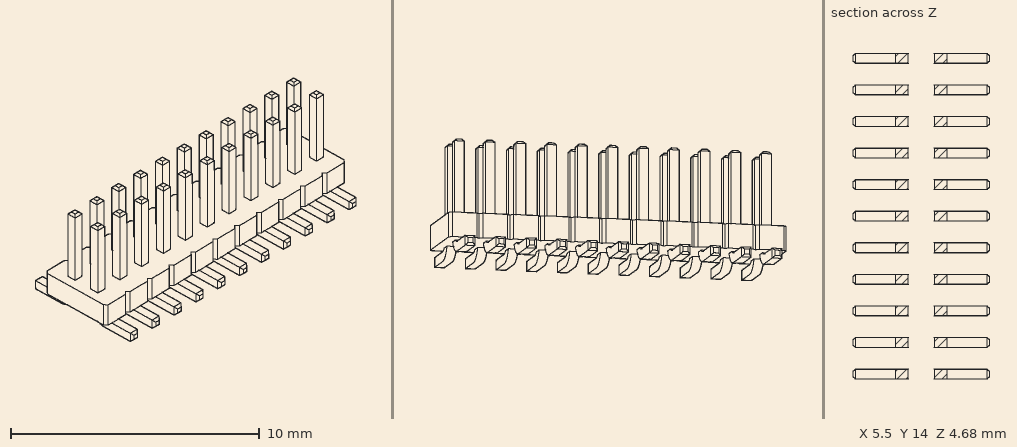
import cadquery as cq

pin_rows = 11
body_length = 13.97
pitch = body_length / pin_rows
overall_width = 5.5
overall_height = 4.68

body_width = 3.41
body_thickness = 1.0
standoff = 0.5
notch_depth = 0.14
notch_half_width = 0.13

pin_size = 0.4
tip_inset = 0.1
post_tip_length = 0.1
foot_tip_length = 0.11
bend_inner_radius = pin_size
bend_outer_radius = bend_inner_radius + pin_size

pin_center_x = pitch / 2
pin_inner_x = pin_center_x - pin_size / 2
pin_outer_x = pin_center_x + pin_size / 2
post_shoulder_z = overall_height - post_tip_length
foot_shoulder_x = overall_width / 2 - foot_tip_length


def row_position(row):
    """Y of a pin row, the rows being centred on the origin."""
    return (row - (pin_rows - 1) / 2) * pitch


def body_segment():
    """One pitch of the body, its cut corners forming V notches with the neighbouring segments."""
    side_x = body_width / 2
    end_x = side_x - notch_depth
    end_y = pitch / 2
    side_y = end_y - notch_half_width
    return (
        cq.Workplane("XY", origin=(0, 0, standoff))
        .polyline([
            (end_x, -end_y), (side_x, -side_y), (side_x, side_y), (end_x, end_y),
            (-end_x, end_y), (-side_x, side_y), (-side_x, -side_y), (-end_x, -end_y),
        ])
        .close()
        .extrude(body_thickness)
    )


def tapered_tip(plane, length):
    """Pyramid frustum closing a pin end, grown along the normal of the plane."""
    end_size = pin_size - 2 * tip_inset
    return (
        cq.Workplane(plane)
        .rect(pin_size, pin_size)
        .workplane(offset=length)
        .rect(end_size, end_size)
        .loft(ruled=True)
    )


def pin():
    """Pin on the +X side: upright post, bend at the underside of the body and outward foot."""
    shank = (
        cq.Workplane("XZ")
        .moveTo(pin_inner_x, post_shoulder_z)
        .lineTo(pin_inner_x, bend_outer_radius)
        .radiusArc((pin_inner_x + bend_outer_radius, 0), -bend_outer_radius)
        .lineTo(foot_shoulder_x, 0)
        .lineTo(foot_shoulder_x, pin_size)
        .lineTo(pin_outer_x + bend_inner_radius, pin_size)
        .radiusArc((pin_outer_x, bend_outer_radius), bend_inner_radius)
        .lineTo(pin_outer_x, post_shoulder_z)
        .close()
        .extrude(pin_size / 2, both=True)
    )
    post_end = cq.Plane((pin_center_x, 0, post_shoulder_z), xDir=(1, 0, 0), normal=(0, 0, 1))
    foot_end = cq.Plane((foot_shoulder_x, 0, pin_size / 2), xDir=(0, 1, 0), normal=(1, 0, 0))
    post_tip = tapered_tip(post_end, post_tip_length)
    foot_tip = tapered_tip(foot_end, foot_tip_length)
    return shank.union(post_tip).union(foot_tip)


right_pin = pin()
left_pin = right_pin.mirror("YZ")
pin_row = body_segment().union(right_pin).union(left_pin)

result = pin_row.translate((0, row_position(0), 0))
for row in range(1, pin_rows):
    result = result.union(pin_row.translate((0, row_position(row), 0)))
result = result.clean().solids()